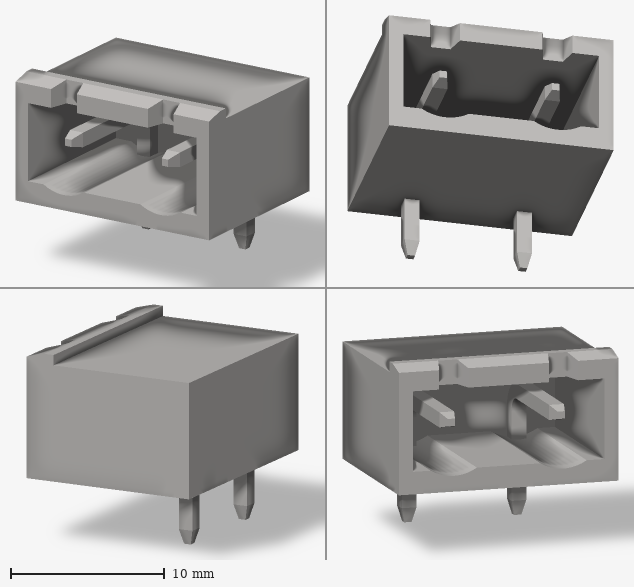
import cadquery as cq

WIDTH = 15.0
DEPTH = 12.0
BODY_HEIGHT = 7.8

LIP_TOP = 8.49
LIP_DEPTH = 2.0
LIP_SLOPE_DEPTH = 1.3
LIP_FRONT_TOP = 8.15

SIDE_WALL = 0.98
FLOOR = 1.5
BACK_WALL = 1.5
CAVITY_TOP = 6.85
GROOVE_WIDTH = 3.15
GROOVE_DEPTH = 0.45

NOTCH_FRONT_WIDTH = 2.0
NOTCH_BACK_WIDTH = 1.3
NOTCH_DEPTH = LIP_SLOPE_DEPTH

PITCH = 7.5
POLE_POSITIONS = (-PITCH / 2, PITCH / 2)
PIN_SIZE = 1.0
PIN_END = -4.0
PIN_TIP_Y = 0.51
PIN_CONTACT_Z = 4.5
LEG_Y = DEPTH - BACK_WALL - PIN_SIZE / 2
TAPER_LENGTH = 1.0
TIP_SIZE = 0.5
BEND_RADIUS = 1.5 * PIN_SIZE


def make_housing():
    profile = [
        (0, 0),
        (DEPTH, 0),
        (DEPTH, BODY_HEIGHT),
        (LIP_DEPTH, BODY_HEIGHT),
        (LIP_DEPTH, LIP_TOP),
        (LIP_SLOPE_DEPTH, LIP_TOP),
        (0, LIP_FRONT_TOP),
    ]
    return cq.Workplane("YZ").polyline(profile).close().extrude(WIDTH / 2, both=True)


def make_cavity():
    """Rectangular pocket with a shallow round groove in its floor under each pin."""
    half_width = WIDTH / 2 - SIDE_WALL
    outline = cq.Workplane("XZ").moveTo(-half_width, CAVITY_TOP).lineTo(-half_width, FLOOR)
    for x in POLE_POSITIONS:
        outline = outline.lineTo(x - GROOVE_WIDTH / 2, FLOOR).threePointArc(
            (x, FLOOR - GROOVE_DEPTH), (x + GROOVE_WIDTH / 2, FLOOR)
        )
    outline = outline.lineTo(half_width, FLOOR).lineTo(half_width, CAVITY_TOP).close()
    return outline.extrude(-(DEPTH - BACK_WALL))


def make_notch(x):
    """Wedge cut down into the cavity, narrowing towards the back."""
    plan = [
        (x - NOTCH_FRONT_WIDTH / 2, 0),
        (x + NOTCH_FRONT_WIDTH / 2, 0),
        (x + NOTCH_BACK_WIDTH / 2, NOTCH_DEPTH),
        (x - NOTCH_BACK_WIDTH / 2, NOTCH_DEPTH),
    ]
    notch_bottom = cq.Workplane("XY", origin=(0, 0, CAVITY_TOP))
    return notch_bottom.polyline(plan).close().extrude(LIP_TOP - CAVITY_TOP)


def make_tip(plane):
    """Square taper from the full pin size down to the tip, along the plane's normal."""
    base = cq.Workplane(plane).rect(PIN_SIZE, PIN_SIZE)
    return base.workplane(offset=TAPER_LENGTH).rect(TIP_SIZE, TIP_SIZE).loft(ruled=True)


def make_pin(x):
    """Horizontal contact bent down into a solder leg, tapered at both ends."""
    contact_start = PIN_TIP_Y + TAPER_LENGTH
    leg_bottom = PIN_END + TAPER_LENGTH
    inner_radius = BEND_RADIUS - PIN_SIZE / 2
    outer_radius = BEND_RADIUS + PIN_SIZE / 2
    contact_top = PIN_CONTACT_Z + PIN_SIZE / 2
    contact_bottom = PIN_CONTACT_Z - PIN_SIZE / 2
    leg_front = LEG_Y - PIN_SIZE / 2
    leg_back = LEG_Y + PIN_SIZE / 2
    bend_y = LEG_Y - BEND_RADIUS
    bend_z = PIN_CONTACT_Z - BEND_RADIUS
    bar = (
        cq.Workplane("YZ", origin=(x, 0, 0))
        .moveTo(contact_start, contact_top)
        .lineTo(bend_y, contact_top)
        .radiusArc((leg_back, bend_z), outer_radius)
        .lineTo(leg_back, leg_bottom)
        .lineTo(leg_front, leg_bottom)
        .lineTo(leg_front, bend_z)
        .radiusArc((bend_y, contact_bottom), -inner_radius)
        .lineTo(contact_start, contact_bottom)
        .close()
        .extrude(PIN_SIZE / 2, both=True)
    )
    contact_plane = cq.Plane((x, contact_start, PIN_CONTACT_Z), xDir=(1, 0, 0), normal=(0, -1, 0))
    leg_plane = cq.Plane((x, LEG_Y, leg_bottom), xDir=(1, 0, 0), normal=(0, 0, -1))
    return bar.union(make_tip(contact_plane)).union(make_tip(leg_plane))


result = make_housing().cut(make_cavity())
for pole_x in POLE_POSITIONS:
    result = result.cut(make_notch(pole_x))
for pole_x in POLE_POSITIONS:
    result = result.union(make_pin(pole_x))